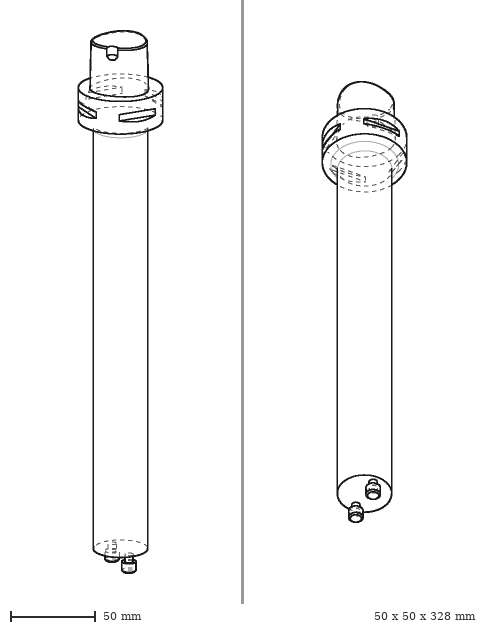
import cadquery as cq
import math

TOTAL_LENGTH = 328.0

SHANK_HEIGHT = 30.0
SHANK_RADIUS = 17.22
LOBE_HEIGHT = 1.0
TAPER = 0.5
TIP_CHAMFER = 1.0
OUTLINE_POINTS = 36

KEY_RADIUS = 3.5
KEY_CENTRE_Y = -16.5
KEY_DEPTH = 5.2
KEY_CONE_HEIGHT = 2.3
KEY_END_RADIUS = 1.5

FLANGE_RADIUS = 25.0
FLANGE_HEIGHT = 20.5
UNDERSIDE_DROP = 1.3
NECK_FILLET = 4.0

GROOVE_Z = -10.2
GROOVE_FLOOR = 22.0
GROOVE_FLOOR_HEIGHT = 4.0
GROOVE_MOUTH_HEIGHT = 6.2
GROOVE_COUNT = 4

BAR_RADIUS = 32.0 / 2
PIN_LENGTH = 10.8
PIN_OFFSET = 8.0
PIN_RADIUS = 5.0 / 2
HEAD_RADIUS = 8.5 / 2
HEAD_HEIGHT = 6.2
HEAD_CHAMFER = 1.0

BOTTOM_Z = SHANK_HEIGHT - TOTAL_LENGTH
BAR_END_Z = BOTTOM_Z + PIN_LENGTH


def lobed_outline(mean_radius, z):
    """Closed three-lobed curve at height z, with one lobe pointing to +Y."""
    points = []
    for i in range(OUTLINE_POINTS):
        angle = 2 * math.pi * i / OUTLINE_POINTS
        radius = mean_radius + LOBE_HEIGHT * math.cos(3 * (angle - math.pi / 2))
        points.append(cq.Vector(radius * math.cos(angle), radius * math.sin(angle), z))
    return cq.Wire.assembleEdges([cq.Edge.makeSpline(points, periodic=True)])


def lobed_section(bottom_radius, bottom_z, top_radius, top_z):
    outlines = [lobed_outline(bottom_radius, bottom_z), lobed_outline(top_radius, top_z)]
    return cq.Workplane(cq.Solid.makeLoft(outlines, True))


def make_shank():
    tip_radius = SHANK_RADIUS - TAPER
    shoulder_z = SHANK_HEIGHT - TIP_CHAMFER
    body = lobed_section(SHANK_RADIUS, 0, tip_radius, shoulder_z)
    tip = lobed_section(tip_radius, shoulder_z, tip_radius - TIP_CHAMFER, SHANK_HEIGHT)
    return body.union(tip)


def make_keyway():
    """Vertical round cutter with a truncated conical end."""
    cone_z = SHANK_HEIGHT - KEY_DEPTH
    profile = [
        (0, SHANK_HEIGHT),
        (KEY_RADIUS, SHANK_HEIGHT),
        (KEY_RADIUS, cone_z),
        (KEY_END_RADIUS, cone_z - KEY_CONE_HEIGHT),
        (0, cone_z - KEY_CONE_HEIGHT),
    ]
    cutter = cq.Workplane("XZ").polyline(profile).close().revolve(360, (0, 0), (0, 1))
    return cutter.translate((0, KEY_CENTRE_Y, 0))


def make_flange_and_bar():
    underside_z = -FLANGE_HEIGHT - UNDERSIDE_DROP
    arc_centre = (BAR_RADIUS + NECK_FILLET, underside_z - NECK_FILLET)
    arc_reach = NECK_FILLET * math.sqrt(0.5)
    return (
        cq.Workplane("XZ")
        .lineTo(FLANGE_RADIUS, 0)
        .lineTo(FLANGE_RADIUS, -FLANGE_HEIGHT)
        .lineTo(BAR_RADIUS + NECK_FILLET, underside_z)
        .threePointArc(
            (arc_centre[0] - arc_reach, arc_centre[1] + arc_reach),
            (BAR_RADIUS, underside_z - NECK_FILLET),
        )
        .lineTo(BAR_RADIUS, BAR_END_Z)
        .lineTo(0, BAR_END_Z)
        .close()
        .revolve(360, (0, 0), (0, 1))
    )


def make_groove():
    """Straight trapezoidal groove across the +X side of the flange."""
    half_floor = GROOVE_FLOOR_HEIGHT / 2
    half_mouth = GROOVE_MOUTH_HEIGHT / 2
    profile = [
        (GROOVE_FLOOR, GROOVE_Z - half_floor),
        (FLANGE_RADIUS, GROOVE_Z - half_mouth),
        (FLANGE_RADIUS, GROOVE_Z + half_mouth),
        (GROOVE_FLOOR, GROOVE_Z + half_floor),
    ]
    return cq.Workplane("XZ").polyline(profile).close().extrude(FLANGE_RADIUS, both=True)


def make_pin():
    stem = cq.Workplane("XY").workplane(offset=BOTTOM_Z).circle(PIN_RADIUS).extrude(PIN_LENGTH)
    head = cq.Workplane("XY").workplane(offset=BOTTOM_Z).circle(HEAD_RADIUS).extrude(HEAD_HEIGHT)
    return stem.union(head.faces("<Z").chamfer(HEAD_CHAMFER))


result = make_flange_and_bar().union(make_shank()).cut(make_keyway())

for index in range(GROOVE_COUNT):
    groove_angle = (index + 0.5) * 360 / GROOVE_COUNT
    result = result.cut(make_groove().rotate((0, 0, 0), (0, 0, 1), groove_angle))

for side in (-1, 1):
    result = result.union(make_pin().translate((side * PIN_OFFSET, -side * PIN_OFFSET, 0)))